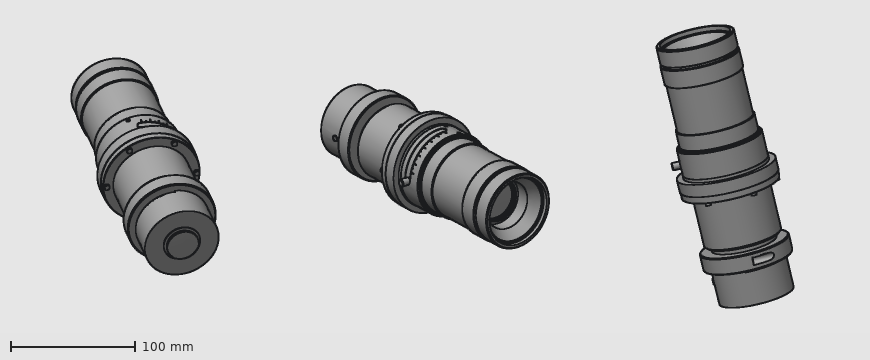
import cadquery as cq
import math

LENGTH = 223.8

NOSE_END = 14.5
GRIP_START = 16.5
GRIP_END = 32.0
BARREL_END = 71.5
COLLAR_END = 85.5
FOCUS_START = 86.2
LIP_START = 108.5
FLANGE_START = 111.2
FLANGE_STEP = 121.7
FLANGE_END = 127.5
REAR_BARREL_END = 171.5
CLAMP_START = 175.5
CLAMP_END = 189.8
HOUSING_END = 219.5
MOUNT_FLANGE_END = 220.2
MOUNT_NECK_END = 221.3
MOUNT_END = 223.3

NOSE_R = 32.2
NOSE_NECK_R = 30.5
GRIP_R = 32.7
BARREL_R = 31.5
COLLAR_NECK_R = 33.1
FOCUS_R = 35.4
LIP_R = 35.5
FLANGE_R = 41.0
FLANGE_REAR_R = 40.5
REAR_BARREL_R = 32.0
CLAMP_NECK_R = 26.9
CLAMP_R = 37.0
HOUSING_R = 30.9
MOUNT_FLANGE_R = 15.2
MOUNT_NECK_R = 12.5
MOUNT_R = 13.2

FINE_CHAMFER = 0.5
EDGE_CHAMFER = 1.0
REAR_BARREL_CHAMFER = 1.8

MOUTH_R = 29.0
MOUTH_DEPTH = 3.8
MOUTH_STEP_R = 28.0
MOUTH_STEP_END = 4.5
CONE_R = 27.0
CONE_END = 14.0
THROAT_R = 40.5 / 2
THROAT_END = 26.2
SEAT_DIAMETERS = (36.7, 35.5, 34.7, 32.0)
SEAT_STEP = 0.7
LENS_R = 31.0 / 2
LENS_BULGE = 1.0

LEVER_X = 100.2
LEVER_D = 6.3
LEVER_REACH = 42.0
LEVER_ROOT = 2.2
LEVER_CHAMFER = 0.7
SLOT_DEPTH = 0.7
SLOT_START = -1.8
SCALE_END_X = 96.2
SCALE_START = 0.8
SCALE_PITCH = 12.5
SCALE_INTERVALS = 6
LONG_TICK = 2.5
SHORT_TICK = 0.5
TICK_WIDTH = 0.5
TICK_DEPTH = 0.34

SET_SCREW_D = 3.0
SET_SCREW_XS = (89.7, 106.7)
SET_SCREW_ANGLE = -15.0
SET_SCREW_DEPTH = 1.1
SET_SCREW_SOCKET_D = 1.5
SET_SCREW_SOCKET_DEPTH = 1.1

FLANGE_SCREW_COUNT = 6
FLANGE_SCREW_D = 4.5
FLANGE_SCREW_HEAD = 2.2
FLANGE_SCREW_CIRCLE_R = 37.5

POCKET_X = (CLAMP_START + CLAMP_END) / 2
POCKET_WIDTH = 6.3
POCKET_Z = -32.0
POCKET_FLOOR_Y = -5.5
CLAMP_SCREW_D = 4.5
CLAMP_SCREW_HEAD = 2.2
CLAMP_SOCKET_D = 2.5
CLAMP_SOCKET_DEPTH = 1.3

RELIEF_WIDTH = 1.8
RELIEF_DEPTH = 2.2
RELIEF_LIMIT_Y = 2.2
BUTTON_X = 200.5
BUTTON_D = 5.0
BUTTON_HEIGHT = 0.7
BUTTON_ROOT = 2.2


def band(start, end, radius, front_chamfer=0.0, rear_chamfer=0.0):
    """Solid disc around the X axis, optionally chamfered at either rim."""
    disc = cq.Workplane("YZ", origin=(start, 0, 0)).circle(radius).extrude(end - start)
    if front_chamfer:
        disc = disc.faces("<X").chamfer(front_chamfer)
    if rear_chamfer:
        disc = disc.faces(">X").chamfer(rear_chamfer)
    return disc


def radial_rod(x, angle, diameter, inner_r, outer_r):
    """Cylinder along a radius; the angle runs from +Z towards +Y."""
    rod = cq.Workplane("XY", origin=(x, 0, inner_r)).circle(diameter / 2).extrude(outer_r - inner_r)
    return rod.rotate((0, 0, 0), (1, 0, 0), -angle)


def dome(base_x, radius, height):
    """Spherical cap on the X axis; a negative height bulges towards -X."""
    tip_x = base_x + height
    sphere_r = (radius**2 + height**2) / (2 * abs(height))
    mid_drop = sphere_r - math.sqrt(sphere_r**2 - (radius / 2) ** 2)
    profile = (
        cq.Workplane("XY")
        .moveTo(base_x, 0)
        .lineTo(base_x, radius)
        .threePointArc((tip_x - math.copysign(mid_drop, height), radius / 2), (tip_x, 0))
        .close()
    )
    return profile.revolve(360, (0, 0, 0), (1, 0, 0))


def make_body():
    sections = (
        band(0, NOSE_END, NOSE_R, EDGE_CHAMFER, FINE_CHAMFER),
        band(NOSE_END, GRIP_START, NOSE_NECK_R),
        band(GRIP_START, GRIP_END, GRIP_R, FINE_CHAMFER, FINE_CHAMFER),
        band(GRIP_END, BARREL_END, BARREL_R),
        band(BARREL_END, COLLAR_END, GRIP_R, FINE_CHAMFER, FINE_CHAMFER),
        band(COLLAR_END, FOCUS_START, COLLAR_NECK_R),
        band(FOCUS_START, LIP_START, FOCUS_R, EDGE_CHAMFER),
        band(LIP_START, FLANGE_START, LIP_R),
        band(FLANGE_START, FLANGE_STEP, FLANGE_R),
        band(FLANGE_STEP, FLANGE_END, FLANGE_REAR_R, 0, FINE_CHAMFER),
        band(FLANGE_END, REAR_BARREL_END, REAR_BARREL_R, 0, REAR_BARREL_CHAMFER),
        band(REAR_BARREL_END, CLAMP_START, CLAMP_NECK_R),
        band(CLAMP_START, CLAMP_END, CLAMP_R, EDGE_CHAMFER, EDGE_CHAMFER),
        band(CLAMP_END, HOUSING_END, HOUSING_R),
        band(HOUSING_END, MOUNT_FLANGE_END, MOUNT_FLANGE_R),
        band(MOUNT_FLANGE_END, MOUNT_NECK_END, MOUNT_NECK_R),
        band(MOUNT_NECK_END, MOUNT_END, MOUNT_R),
        dome(MOUNT_END, MOUNT_NECK_R, LENGTH - MOUNT_END),
    )
    body = sections[0]
    for section in sections[1:]:
        body = body.union(section)
    return body


def make_bore():
    mouth = band(0, MOUTH_DEPTH, MOUTH_R).union(band(MOUTH_DEPTH, MOUTH_STEP_END, MOUTH_STEP_R))
    cone = (
        cq.Workplane("YZ", origin=(MOUTH_STEP_END, 0, 0))
        .circle(CONE_R)
        .workplane(offset=CONE_END - MOUTH_STEP_END)
        .circle(THROAT_R)
        .loft()
    )
    bore = mouth.union(cone).union(band(CONE_END, THROAT_END, THROAT_R))
    depth = THROAT_END
    for diameter in SEAT_DIAMETERS:
        bore = bore.union(band(depth, depth + SEAT_STEP, diameter / 2))
        depth += SEAT_STEP
    return bore.cut(dome(depth, LENS_R, -LENS_BULGE))


def make_lever_slot():
    start = LEVER_X - LEVER_D / 2
    end = LEVER_X + LEVER_D / 2
    floor_r = FOCUS_R - SLOT_DEPTH
    quarter = cq.Workplane("XY").box(LENGTH, FLANGE_R, FLANGE_R, centered=False)
    track = band(start, end, LIP_R).intersect(quarter.rotate((0, 0, 0), (1, 0, 0), -SLOT_START))
    for angle in (SLOT_START, SLOT_START + 90):
        track = track.union(radial_rod(LEVER_X, angle, LEVER_D, floor_r - LEVER_D, LIP_R))
    return track.cut(band(start, end, floor_r))


def cut_scale(body):
    for half_step in range(2 * SCALE_INTERVALS + 1):
        length = SHORT_TICK if half_step % 2 else LONG_TICK
        tick = (
            cq.Workplane("XY")
            .box(length, TICK_WIDTH, 2 * TICK_DEPTH)
            .translate((SCALE_END_X - length / 2, 0, FOCUS_R))
            .rotate((0, 0, 0), (1, 0, 0), -(SCALE_START + half_step * SCALE_PITCH / 2))
        )
        body = body.cut(tick)
    return body


def cut_set_screws(body):
    hole_floor_r = FOCUS_R - SET_SCREW_DEPTH
    socket_floor_r = hole_floor_r - SET_SCREW_SOCKET_DEPTH
    for x in SET_SCREW_XS:
        body = body.cut(radial_rod(x, SET_SCREW_ANGLE, SET_SCREW_D, hole_floor_r, FLANGE_R))
        body = body.cut(radial_rod(x, SET_SCREW_ANGLE, SET_SCREW_SOCKET_D, socket_floor_r, FLANGE_R))
    return body


def make_flange_screws():
    return (
        cq.Workplane("YZ", origin=(FLANGE_END, 0, 0))
        .polarArray(FLANGE_SCREW_CIRCLE_R, 0, 360, FLANGE_SCREW_COUNT)
        .circle(FLANGE_SCREW_D / 2)
        .extrude(FLANGE_SCREW_HEAD)
    )


def cut_clamp_screw(body):
    floor = cq.Workplane("XZ", origin=(POCKET_X, POCKET_FLOOR_Y, POCKET_Z))
    arch = floor.circle(POCKET_WIDTH / 2).extrude(CLAMP_R)
    lower = floor.center(0, -CLAMP_R / 2).rect(POCKET_WIDTH, CLAMP_R).extrude(CLAMP_R)
    head_hole = floor.circle(CLAMP_SCREW_D / 2).extrude(-CLAMP_SCREW_HEAD)
    socket_floor = floor.workplane(offset=-CLAMP_SCREW_HEAD)
    socket = socket_floor.circle(CLAMP_SOCKET_D / 2).extrude(-CLAMP_SOCKET_DEPTH)
    return body.cut(arch.union(lower)).cut(head_hole).cut(socket)


def make_housing_relief():
    end = CLAMP_END + RELIEF_WIDTH
    ring = band(CLAMP_END, end, CLAMP_R).cut(band(CLAMP_END, end, HOUSING_R - RELIEF_DEPTH))
    half = cq.Workplane("XY").box(LENGTH, LENGTH, LENGTH).translate(
        (CLAMP_END, RELIEF_LIMIT_Y - LENGTH / 2, 0)
    )
    return ring.intersect(half)


body = make_body().cut(make_bore())

body = body.cut(make_lever_slot())
body = cut_scale(body)
body = cut_set_screws(body)
lever = radial_rod(LEVER_X, 90, LEVER_D, FOCUS_R - LEVER_ROOT, LEVER_REACH)
body = body.union(lever.faces(">Y").chamfer(LEVER_CHAMFER))

body = body.union(make_flange_screws())
body = cut_clamp_screw(body)
body = body.cut(make_housing_relief())
button = radial_rod(BUTTON_X, 90, BUTTON_D, HOUSING_R - BUTTON_ROOT, HOUSING_R + BUTTON_HEIGHT)
body = body.union(button)

result = body